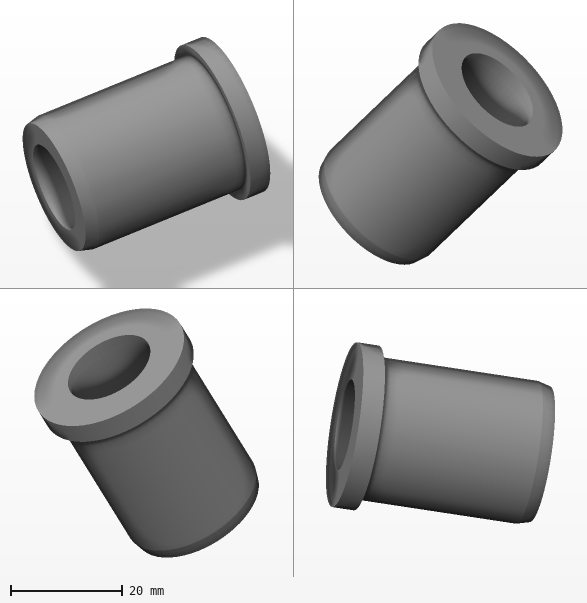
import cadquery as cq
import math

total_length = 36.0
flange_diameter = 30.0
flange_thickness = 4.0
body_diameter = 26.0
bore_diameter = 16.5
lead_in_length = 2.4
lead_in_angle = 15.0

flange_radius = flange_diameter / 2
body_radius = body_diameter / 2
bore_radius = bore_diameter / 2
tip_radius = body_radius - lead_in_length * math.tan(math.radians(lead_in_angle))
flange_start = total_length - flange_thickness

half_section = (
    cq.Workplane("XY")
    .moveTo(bore_radius, 0)
    .lineTo(tip_radius, 0)
    .lineTo(body_radius, lead_in_length)
    .lineTo(body_radius, flange_start)
    .lineTo(flange_radius, flange_start)
    .lineTo(flange_radius, total_length)
    .lineTo(bore_radius, total_length)
    .close()
)

result = half_section.revolve(360, (0, 0, 0), (0, 1, 0))